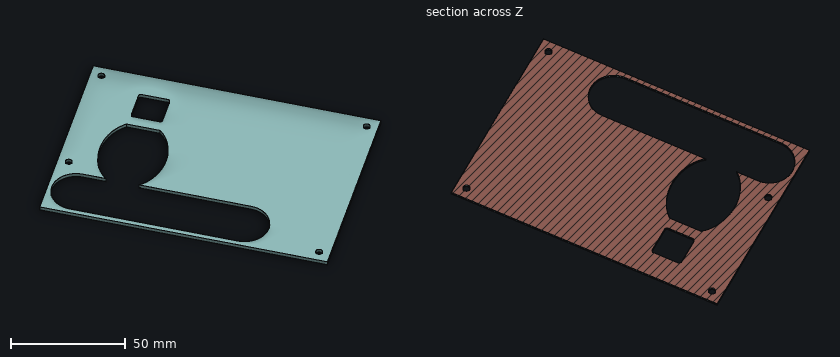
import cadquery as cq

plate_length = 130.0
plate_width = 90.0
plate_thickness = 2.0

hole_diameter = 3.0
hole_inset = 5.1
left_hole_y = 30.2

slot_left = 2.0
slot_bottom = 2.3
slot_length = 98.0
slot_width = 22.0
slot_center_x = slot_left + slot_length / 2
slot_center_y = slot_bottom + slot_width / 2

opening_center_x = 31.0
opening_center_y = 41.7
opening_half_width = 15.0
opening_half_height = 20.0
opening_top = 59.0
opening_height = opening_top - slot_center_y

window_size = 14.0
window_center_y = 71.2
window_corner_radius = 1.0


def make_plate():
    return cq.Workplane("XY").box(plate_length, plate_width, plate_thickness, centered=False)


def make_screw_holes():
    right_x = plate_length - hole_inset
    top_y = plate_width - hole_inset
    centers = [
        (hole_inset, top_y),
        (right_x, top_y),
        (right_x, hole_inset),
        (hole_inset, left_hole_y),
    ]
    return cq.Workplane("XY").pushPoints(centers).circle(hole_diameter / 2).extrude(plate_thickness)


def make_slot():
    return (
        cq.Workplane("XY")
        .center(slot_center_x, slot_center_y)
        .slot2D(slot_length, slot_width)
        .extrude(plate_thickness)
    )


def make_elliptical_opening():
    ellipse = (
        cq.Workplane("XY")
        .center(opening_center_x, opening_center_y)
        .ellipse(opening_half_width, opening_half_height)
        .extrude(plate_thickness)
    )
    band = (
        cq.Workplane("XY")
        .center(opening_center_x, slot_center_y + opening_height / 2)
        .rect(2 * opening_half_width, opening_height)
        .extrude(plate_thickness)
    )
    return ellipse.intersect(band)


def make_window():
    return (
        cq.Workplane("XY")
        .center(opening_center_x, window_center_y)
        .rect(window_size, window_size)
        .extrude(plate_thickness)
        .edges("|Z")
        .fillet(window_corner_radius)
    )


result = (
    make_plate()
    .cut(make_screw_holes())
    .cut(make_slot())
    .cut(make_elliptical_opening())
    .cut(make_window())
)